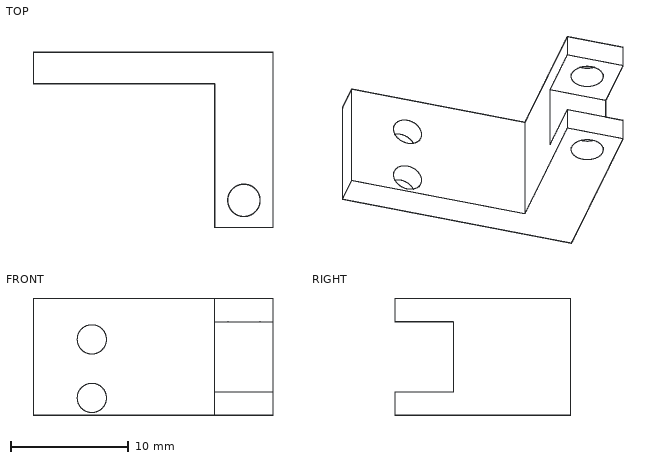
import cadquery as cq

length = 20.5
depth = 15.0
height = 10.0
plate_thickness = 2.7
arm_width = 5.0

slot_depth = 5.0
prong_thickness = 2.0
pin_diameter = 2.75
pin_from_tip = 2.34

plate_hole_diameter = 2.5
plate_hole_depth = 2.0
plate_hole_x = 5.0
lower_hole_z = 1.5
hole_spacing = 5.0

plate_front_y = depth - plate_thickness
arm_start_x = length - arm_width


def make_bracket():
    """L-shaped body with its outer corner at maximum X and Y."""
    plate = cq.Workplane("XY").box(length, plate_thickness, height, centered=False)
    plate = plate.translate((0, plate_front_y, 0))
    arm = cq.Workplane("XY").box(arm_width, depth, height, centered=False)
    return plate.union(arm.translate((arm_start_x, 0, 0)))


def make_fork_slot():
    """Gap between the two prongs, open at the arm tip and both sides."""
    slot_height = height - 2 * prong_thickness
    slot = cq.Workplane("XY").box(arm_width, slot_depth, slot_height, centered=False)
    return slot.translate((arm_start_x, 0, prong_thickness))


def make_pin_hole():
    """Vertical hole through both prongs, centred on the arm width."""
    center_x = arm_start_x + arm_width / 2
    return cq.Workplane("XY").center(center_x, pin_from_tip).circle(pin_diameter / 2).extrude(height)


def make_plate_hole(center_z):
    """Flat-bottomed hole going into the plate along +Y."""
    start = cq.Vector(plate_hole_x, plate_front_y, center_z)
    direction = cq.Vector(0, 1, 0)
    return cq.Solid.makeCylinder(plate_hole_diameter / 2, plate_hole_depth, start, direction)


result = make_bracket().cut(make_fork_slot()).cut(make_pin_hole())
for center_z in (lower_hole_z, lower_hole_z + hole_spacing):
    result = result.cut(make_plate_hole(center_z))